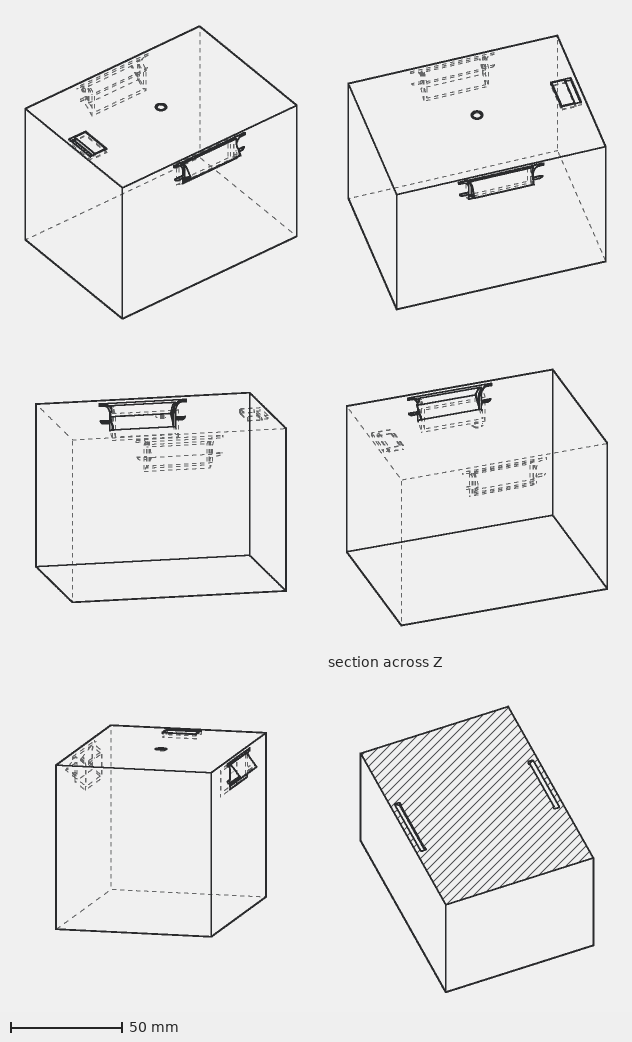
import cadquery as cq
import math

WIDTH = 72.0
LENGTH = 98.4
HEIGHT = 75.0

SPAN = 81.4
TILT = 53.0
FACE_DROP = 2.7
CLEARANCE = 1.2
UPPER_CLEARANCE = 0.9
POCKET_DEPTH = 4.7
TAB_WIDTH = 27.9
FLARE_RADIUS = 5.0
FLARE_LENGTH = 3.1
HEAD_DEPTH = 0.5
CORE_INSET = 0.2
SEAM_WIDTH = 0.3
SEAM_DEPTH = 0.2
SEAM_TO_TIP = 0.8
RECESS_WIDTH = 40.0
MOUTH_RADIUS = 2.5
LOWER_RECESS_RADIUS = 2.0
LOWER_RECESS_DROP = 9.4
LOWER_RECESS_OFFSET = 4.9

BUTTON_POCKET_LENGTH = 15.7
BUTTON_POCKET_WIDTH = 9.4
BUTTON_STEP_DEPTH = 1.5
BUTTON_GAP_DEPTH = 2.0
BUTTON_POCKET_OFFSET = 1.4
BUTTON_POCKET_MARGIN = 2.2
BUTTON_GAP = 0.4
BUTTON_WIDTH = 6.1

RIM_DIAMETER = 5.0
PIN_DIAMETER = 4.0
RIM_DEPTH = 0.5

SIN = math.sin(math.radians(TILT))
COS = math.cos(math.radians(TILT))
LATCH_PLANE = cq.Plane(
    origin=(-WIDTH / 2, 0, HEIGHT / 2), xDir=(-COS, 0, -SIN), normal=(-SIN, 0, COS)
)
OVERHANG = (SPAN - WIDTH) / 2
FACE_LEVEL = -FACE_DROP * COS
TAB_START = FACE_DROP * SIN
TAB_END = TAB_START + OVERHANG / COS
POCKET_START = TAB_START - UPPER_CLEARANCE
POCKET_END = TAB_END + CLEARANCE
REACH = 19.7


def latch_prism(profile, start, end):
    """Extrude a closed profile, drawn across the tab, from start to end along the tab."""
    section = cq.Plane(
        origin=LATCH_PLANE.toWorldCoords((start, 0, 0)), xDir=(0, -1, 0), normal=LATCH_PLANE.xDir
    )
    return profile(cq.Workplane(section)).close().extrude(end - start)


def side_layer(depth):
    """Slab from a given depth inside the block's left side to well outside it."""
    return (
        cq.Workplane()
        .box(depth + REACH, LENGTH, HEIGHT)
        .translate(((depth - REACH - WIDTH) / 2, 0, 0))
    )


def slot_profile(sketch):
    """Slot around the tab, rounded into the wide upper recess."""
    slot = TAB_WIDTH / 2 + CLEARANCE
    round_end = slot + MOUTH_RADIUS
    wide = RECESS_WIDTH / 2
    return (
        sketch.moveTo(-slot, -REACH)
        .lineTo(slot, -REACH)
        .lineTo(slot, FACE_LEVEL - MOUTH_RADIUS)
        .radiusArc((round_end, FACE_LEVEL), MOUTH_RADIUS)
        .lineTo(wide, FACE_LEVEL)
        .lineTo(wide, REACH)
        .lineTo(-wide, REACH)
        .lineTo(-wide, FACE_LEVEL)
        .lineTo(-round_end, FACE_LEVEL)
        .radiusArc((-slot, FACE_LEVEL - MOUTH_RADIUS), MOUTH_RADIUS)
    )


def lower_recess_profile(sketch):
    """Wide recess with rounded lower corners."""
    floor = FACE_LEVEL - LOWER_RECESS_OFFSET
    wide = RECESS_WIDTH / 2
    flat = wide - LOWER_RECESS_RADIUS
    return (
        sketch.moveTo(-flat, floor)
        .lineTo(flat, floor)
        .radiusArc((wide, floor + LOWER_RECESS_RADIUS), -LOWER_RECESS_RADIUS)
        .lineTo(wide, REACH)
        .lineTo(-wide, REACH)
        .lineTo(-wide, floor + LOWER_RECESS_RADIUS)
        .radiusArc((-flat, floor), -LOWER_RECESS_RADIUS)
    )


def latch_pocket():
    """Slot around the tab together with its wide upper and lower recesses."""
    slot = latch_prism(slot_profile, POCKET_START, POCKET_END)
    lower_recess = latch_prism(lower_recess_profile, LOWER_RECESS_DROP * SIN, POCKET_END)
    return slot.union(lower_recess).intersect(side_layer(POCKET_DEPTH))


def latch_tab():
    """Tab with a flared upper end, growing out of the pocket's back wall."""
    half = TAB_WIDTH / 2
    flare_rise = FLARE_RADIUS - math.sqrt(FLARE_RADIUS**2 - FLARE_LENGTH**2)
    flare_end = TAB_START + FLARE_LENGTH
    seam_end = TAB_END - SEAM_TO_TIP
    seam_start = seam_end - SEAM_WIDTH
    seam_floor = half - SEAM_DEPTH
    half_outline = (
        cq.Workplane(LATCH_PLANE)
        .workplane(offset=-REACH)
        .moveTo(TAB_START, 0)
        .lineTo(TAB_START, half + flare_rise)
        .radiusArc((flare_end, half), -FLARE_RADIUS)
        .lineTo(seam_start, half)
        .lineTo(seam_start, seam_floor)
        .lineTo(seam_end, seam_floor)
        .lineTo(seam_end, half)
        .lineTo(TAB_END, half)
        .lineTo(TAB_END, 0)
        .close()
    )
    half_tab = half_outline.extrude(REACH + FACE_LEVEL)
    head = half_tab.union(half_tab.mirror("XZ")).intersect(side_layer(HEAD_DEPTH))
    core = (
        cq.Workplane(LATCH_PLANE)
        .workplane(offset=-REACH)
        .center((TAB_START + TAB_END) / 2, 0)
        .rect(TAB_END - TAB_START, TAB_WIDTH - 2 * CORE_INSET)
        .extrude(REACH + FACE_LEVEL)
        .intersect(side_layer(POCKET_DEPTH))
    )
    return head.union(core)


def button_pocket():
    """Narrow gap around a flush button, with a wide step in front of it."""

    def pocket_box(length, width, depth, front):
        return (
            cq.Workplane()
            .box(length, width, depth, centered=(True, False, False))
            .translate((BUTTON_POCKET_OFFSET, front - LENGTH / 2, HEIGHT / 2 - depth))
        )

    back = BUTTON_POCKET_MARGIN + BUTTON_POCKET_WIDTH
    button_front = back - BUTTON_GAP - BUTTON_WIDTH
    gap_front = button_front - BUTTON_GAP
    step = pocket_box(BUTTON_POCKET_LENGTH, BUTTON_POCKET_WIDTH, BUTTON_STEP_DEPTH, BUTTON_POCKET_MARGIN)
    gap = pocket_box(BUTTON_POCKET_LENGTH, back - gap_front, BUTTON_GAP_DEPTH, gap_front)
    button_length = BUTTON_POCKET_LENGTH - 2 * BUTTON_GAP
    button = pocket_box(button_length, BUTTON_WIDTH, BUTTON_GAP_DEPTH, button_front)
    return step.union(gap).cut(button)


def pin_groove():
    """Countersunk rim around a flush pin."""
    countersink = (
        cq.Workplane(origin=(0, 0, HEIGHT / 2))
        .circle(RIM_DIAMETER / 2)
        .workplane(offset=-RIM_DEPTH)
        .circle(PIN_DIAMETER / 2)
        .loft(ruled=True)
    )
    pin = cq.Workplane(origin=(0, 0, HEIGHT / 2 - RIM_DEPTH)).circle(PIN_DIAMETER / 2).extrude(RIM_DEPTH)
    return countersink.cut(pin)


block = cq.Workplane().box(WIDTH, LENGTH, HEIGHT)
pocket = latch_pocket()
tab = latch_tab()
block = block.cut(pocket).cut(pocket.mirror("YZ"))
block = block.union(tab).union(tab.mirror("YZ"))
result = block.cut(button_pocket()).cut(pin_groove())